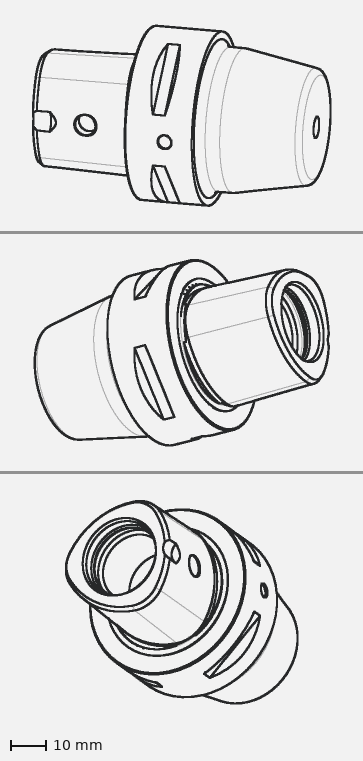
import cadquery as cq
import math

LENGTH = 80.0
SHANK_CHAMFER_X = 1.4
SHANK_TAPER_END_X = 27.8
NECK_RELIEF_END_X = 28.8
COLLAR_START_X = 29.5
FLANGE_START_X = 30.0
FLANGE_END_X = 50.0
NOSE_CYLINDER_START_X = 52.8
NOSE_CONE_START_X = 57.1

LOBE_COUNT = 3
LOBE_CENTER_RADIUS = 8.5
FACE_LOBE_RADIUS = 8.5
FRONT_LOBE_RADIUS = 9.4
REAR_LOBE_RADIUS = 10.2
NECK_LOBE_RADIUS = 10.1
NECK_RADIUS = 17.7

FLANGE_DIAMETER = 50.0
FLANGE_RADIUS = FLANGE_DIAMETER / 2
FLANGE_CHAMFER = 0.3
FACE_GROOVE_OUTER_RADIUS = 19.4
NOSE_RADIUS = 20.8
NOSE_ROOT_FILLET = 3.0
NOSE_CONE_ANGLE = 10.3
NOSE_END_FILLET = 2.0

BORE_MOUTH_RADIUS = 11.8
BORE_ENTRY_RADIUS = 11.2
BORE_LIP_RADIUS = 10.6
BORE_RECESS_RADIUS = 11.9
BORE_INNER_RADIUS = 10.0
BORE_ENTRY_START_X = 1.1
BORE_ENTRY_END_X = 4.2
BORE_LIP_START_X = 4.7
BORE_LIP_END_X = 5.1
BORE_RECESS_FILLET = 0.9
BORE_SEAT_START_X = 8.2
BORE_SEAT_END_X = 9.3
BORE_DEPTH = 25.6
THROUGH_HOLE_RADIUS = 3.0

NOTCH_RADIUS = 3.8
NOTCH_AXIS_OFFSET = 17.8
NOTCH_LENGTH = 5.3
NOTCH_TIP_HALF_ANGLE = 42.0

DRILL_TIP_HALF_ANGLE = 59.0
SHANK_HOLE_X = 15.9
SHANK_HOLE_RADIUS = 3.0
SHANK_HOLE_RIM_RADIUS = 3.4
SHANK_HOLE_BOTTOM_OFFSET = 11.8
FLANGE_HOLE_X = 41.9
FLANGE_HOLE_DIAMETER = 4.1
FLANGE_HOLE_RADIUS = FLANGE_HOLE_DIAMETER / 2
FLANGE_HOLE_BOTTOM_OFFSET = 24.3

SLOT_COUNT = 4
SLOT_CENTER_X = 39.9
SLOT_FLOOR_WIDTH = 3.5
SLOT_FLOOR_OFFSET = 22.2
SLOT_WALL_ANGLE = 30.0


def polar(radius, angle):
    a = math.radians(angle)
    return (radius * math.cos(a), radius * math.sin(a))


def flank_middle_radius(lobe_radius):
    """Distance from the shank axis to the middle of a flank arc."""
    center_spacing = LOBE_CENTER_RADIUS * math.sqrt(3)
    return center_spacing + lobe_radius - LOBE_CENTER_RADIUS


def lobed_wire(x, lobe_radius):
    """Closed outline of alternating lobe and flank arcs, with one lobe toward +Y."""
    pitch = 360.0 / LOBE_COUNT
    half_span = pitch / 4
    flank_radius = flank_middle_radius(lobe_radius)

    def lobe_point(lobe_angle, normal_angle):
        center = cq.Vector(*polar(LOBE_CENTER_RADIUS, lobe_angle))
        return (center + cq.Vector(*polar(lobe_radius, normal_angle))).toTuple()[:2]

    outline = cq.Workplane("YZ", origin=(x, 0, 0)).moveTo(*lobe_point(0, -half_span))
    for i in range(LOBE_COUNT):
        angle = i * pitch
        next_angle = angle + pitch
        outline = outline.threePointArc(
            polar(LOBE_CENTER_RADIUS + lobe_radius, angle), lobe_point(angle, angle + half_span)
        )
        outline = outline.threePointArc(
            polar(flank_radius, angle + pitch / 2),
            lobe_point(next_angle, next_angle - half_span),
        )
    return outline.close().val()


def lobed_section(start_x, start_lobe_radius, end_x, end_lobe_radius):
    wires = [lobed_wire(start_x, start_lobe_radius), lobed_wire(end_x, end_lobe_radius)]
    return cq.Workplane(cq.Solid.makeLoft(wires, True))


def revolve_about_x(profile):
    return profile.close().revolve(360, (0, 0, 0), (1, 0, 0))


def make_shank():
    chamfer = lobed_section(0, FACE_LOBE_RADIUS, SHANK_CHAMFER_X, FRONT_LOBE_RADIUS)
    taper = lobed_section(SHANK_CHAMFER_X, FRONT_LOBE_RADIUS, SHANK_TAPER_END_X, REAR_LOBE_RADIUS)
    neck = lobed_section(SHANK_TAPER_END_X, NECK_LOBE_RADIUS, FLANGE_START_X, NECK_LOBE_RADIUS)
    relief = revolve_about_x(
        cq.Workplane("XY")
        .moveTo(SHANK_TAPER_END_X, 0)
        .lineTo(SHANK_TAPER_END_X, LOBE_CENTER_RADIUS + NECK_LOBE_RADIUS)
        .lineTo(NECK_RELIEF_END_X, NECK_RADIUS)
        .lineTo(FLANGE_START_X, NECK_RADIUS)
        .lineTo(FLANGE_START_X, 0)
    )
    return chamfer.union(taper).union(neck.intersect(relief))


def make_flange_and_nose():
    fillet_center_radius = NOSE_RADIUS + NOSE_ROOT_FILLET
    fillet_run = NOSE_CYLINDER_START_X - FLANGE_END_X
    root_radius = fillet_center_radius - math.sqrt(NOSE_ROOT_FILLET**2 - fillet_run**2)
    mid_angle = 270 - math.degrees(math.asin(fillet_run / NOSE_ROOT_FILLET)) / 2
    mid_dx, mid_dr = polar(NOSE_ROOT_FILLET, mid_angle)

    cone_drop = (LENGTH - NOSE_CONE_START_X) * math.tan(math.radians(NOSE_CONE_ANGLE))
    body = revolve_about_x(
        cq.Workplane("XY")
        .moveTo(COLLAR_START_X, 0)
        .lineTo(COLLAR_START_X, NECK_RADIUS)
        .lineTo(FLANGE_START_X, NECK_RADIUS)
        .lineTo(FLANGE_START_X, FLANGE_RADIUS - FLANGE_CHAMFER)
        .lineTo(FLANGE_START_X + FLANGE_CHAMFER, FLANGE_RADIUS)
        .lineTo(FLANGE_END_X, FLANGE_RADIUS)
        .lineTo(FLANGE_END_X, root_radius)
        .threePointArc(
            (NOSE_CYLINDER_START_X + mid_dx, fillet_center_radius + mid_dr),
            (NOSE_CYLINDER_START_X, NOSE_RADIUS),
        )
        .lineTo(NOSE_CONE_START_X, NOSE_RADIUS)
        .lineTo(LENGTH, NOSE_RADIUS - cone_drop)
        .lineTo(LENGTH, 0)
    )
    return body.faces(">X").edges().fillet(NOSE_END_FILLET)


def make_face_groove():
    """Half-round ring groove in the flange face around the neck."""
    groove_radius = (FACE_GROOVE_OUTER_RADIUS - NECK_RADIUS) / 2
    return revolve_about_x(
        cq.Workplane("XY")
        .moveTo(FLANGE_START_X, NECK_RADIUS)
        .threePointArc(
            (FLANGE_START_X + groove_radius, NECK_RADIUS + groove_radius),
            (FLANGE_START_X, FACE_GROOVE_OUTER_RADIUS),
        )
    )


def make_bore():
    recess_start_x = BORE_LIP_END_X + BORE_RECESS_RADIUS - BORE_LIP_RADIUS
    corner_center_x = BORE_SEAT_START_X - BORE_RECESS_FILLET
    seat_radius = BORE_RECESS_RADIUS - BORE_RECESS_FILLET
    corner_mid_dx, corner_mid_dr = polar(BORE_RECESS_FILLET, 45)
    return revolve_about_x(
        cq.Workplane("XY")
        .moveTo(0, 0)
        .lineTo(0, BORE_MOUTH_RADIUS)
        .lineTo(BORE_ENTRY_START_X, BORE_ENTRY_RADIUS)
        .lineTo(BORE_ENTRY_END_X, BORE_ENTRY_RADIUS)
        .lineTo(BORE_LIP_START_X, BORE_LIP_RADIUS)
        .lineTo(BORE_LIP_END_X, BORE_LIP_RADIUS)
        .lineTo(recess_start_x, BORE_RECESS_RADIUS)
        .lineTo(corner_center_x, BORE_RECESS_RADIUS)
        .threePointArc(
            (corner_center_x + corner_mid_dx, seat_radius + corner_mid_dr),
            (BORE_SEAT_START_X, seat_radius),
        )
        .lineTo(BORE_SEAT_END_X, BORE_INNER_RADIUS)
        .lineTo(BORE_DEPTH, BORE_INNER_RADIUS)
        .lineTo(BORE_DEPTH, THROUGH_HOLE_RADIUS)
        .lineTo(LENGTH, THROUGH_HOLE_RADIUS)
        .lineTo(LENGTH, 0)
    )


def make_drill(start, direction, depth, radius, tip_half_angle):
    """Cylinder of the given depth with a conical tip beyond it."""
    tip_length = radius / math.tan(math.radians(tip_half_angle))
    axis = cq.Vector(*direction)
    shoulder = cq.Vector(*start) + axis * depth
    shaft = cq.Solid.makeCylinder(radius, depth, cq.Vector(*start), axis)
    tip = cq.Solid.makeCone(radius, 0, tip_length, shoulder, axis)
    return cq.Workplane(shaft).union(cq.Workplane(tip))


def make_radial_drill(x, radius, bottom_offset):
    depth = FLANGE_RADIUS - bottom_offset
    return make_drill((x, -FLANGE_RADIUS, 0), (0, 1, 0), depth, radius, DRILL_TIP_HALF_ANGLE)


def make_shank_hole_countersink():
    """45 degree rim cone, full size where the axis of the hole meets the tapered flank."""
    taper_fraction = (SHANK_HOLE_X - SHANK_CHAMFER_X) / (SHANK_TAPER_END_X - SHANK_CHAMFER_X)
    lobe_radius = FRONT_LOBE_RADIUS + taper_fraction * (REAR_LOBE_RADIUS - FRONT_LOBE_RADIUS)
    rim_offset = flank_middle_radius(lobe_radius)
    start = cq.Vector(SHANK_HOLE_X, -rim_offset, 0)
    depth = SHANK_HOLE_RIM_RADIUS
    return cq.Workplane(cq.Solid.makeCone(SHANK_HOLE_RIM_RADIUS, 0, depth, start, cq.Vector(0, 1, 0)))


def make_gripper_slot():
    """Flared slot through the +Z side, running along Y."""
    depth = FLANGE_RADIUS - SLOT_FLOOR_OFFSET
    half_floor = SLOT_FLOOR_WIDTH / 2
    half_mouth = half_floor + depth * math.tan(math.radians(SLOT_WALL_ANGLE))
    return (
        cq.Workplane("XZ")
        .polyline([
            (SLOT_CENTER_X - half_floor, SLOT_FLOOR_OFFSET),
            (SLOT_CENTER_X + half_floor, SLOT_FLOOR_OFFSET),
            (SLOT_CENTER_X + half_mouth, FLANGE_RADIUS),
            (SLOT_CENTER_X - half_mouth, FLANGE_RADIUS),
        ])
        .close()
        .extrude(FLANGE_RADIUS, both=True)
    )


result = make_shank().union(make_flange_and_nose())
result = result.cut(make_face_groove()).cut(make_bore())
result = result.cut(
    make_drill((0, -NOTCH_AXIS_OFFSET, 0), (1, 0, 0), NOTCH_LENGTH, NOTCH_RADIUS, NOTCH_TIP_HALF_ANGLE)
)
result = result.cut(make_radial_drill(SHANK_HOLE_X, SHANK_HOLE_RADIUS, SHANK_HOLE_BOTTOM_OFFSET))
result = result.cut(make_shank_hole_countersink())
result = result.cut(make_radial_drill(FLANGE_HOLE_X, FLANGE_HOLE_RADIUS, FLANGE_HOLE_BOTTOM_OFFSET))

slot_pitch = 360.0 / SLOT_COUNT
for i in range(SLOT_COUNT):
    slot_angle = (i + 0.5) * slot_pitch
    result = result.cut(make_gripper_slot().rotate((0, 0, 0), (1, 0, 0), slot_angle))